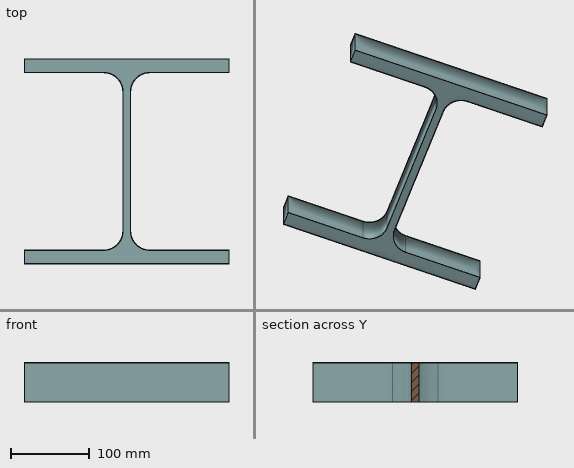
import cadquery as cq

section_depth = 260.0
flange_width = 260.0
flange_thickness = 17.5
web_thickness = 10.0
root_radius = 24.0
beam_length = 50.0

flange_offset = (section_depth - flange_thickness) / 2
web_height = section_depth - 2 * flange_thickness


def make_flange(side):
    """Flange plate on the +Y (side = 1) or -Y (side = -1) edge of the web."""
    return (
        cq.Workplane("XY")
        .center(0, side * flange_offset)
        .rect(flange_width, flange_thickness)
        .extrude(beam_length)
    )


def make_web():
    """Central plate joining the inner faces of the two flanges."""
    return cq.Workplane("XY").rect(web_thickness, web_height).extrude(beam_length)


def round_roots(beam):
    """Fillet the four inside corners where the web meets the flanges."""
    root_corners = cq.selectors.BoxSelector(
        (-web_thickness, -flange_offset, 0),
        (web_thickness, flange_offset, beam_length),
    )
    return beam.edges("|Z").edges(root_corners).fillet(root_radius)


beam = make_web()
for side in (-1, 1):
    beam = beam.union(make_flange(side))

result = round_roots(beam)